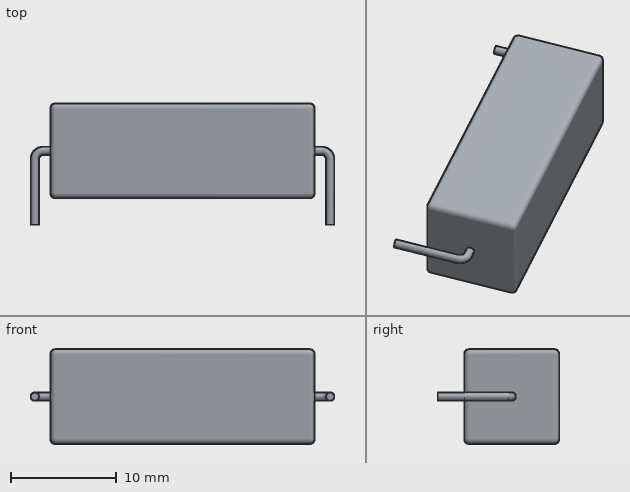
import cadquery as cq

body_length = 25.0
body_width = 9.0
body_height = 9.0
edge_radius = 0.5

lead_diameter = 0.8
lead_pitch = 27.94
bend_radius = 0.8
lead_reach = 2.5

lead_x = lead_pitch / 2
lead_tip_y = -body_width / 2 - lead_reach


def make_body():
    """Block with every edge rounded."""
    return cq.Workplane("XY").box(body_length, body_width, body_height).edges().fillet(edge_radius)


def make_lead():
    """Lead at the +X end: starts at the body centre, leaves the end face and bends to -Y."""
    path = (
        cq.Workplane("XY")
        .lineTo(lead_x - bend_radius, 0)
        .tangentArcPoint((lead_x, -bend_radius), relative=False)
        .lineTo(lead_x, lead_tip_y)
    )
    return cq.Workplane("YZ").circle(lead_diameter / 2).sweep(path)


lead = make_lead()
result = make_body().union(lead).union(lead.mirror("YZ"))